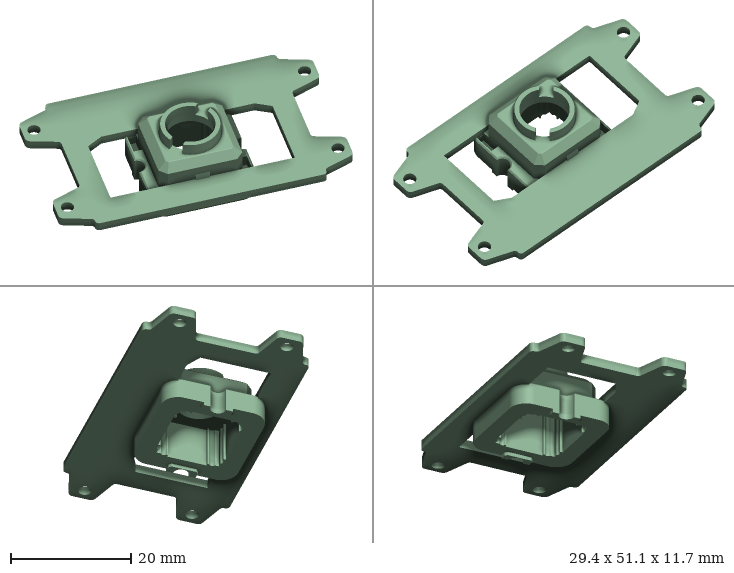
import cadquery as cq

PLATE_THICKNESS = 1.65
PLATE_WIDTH = 29.35
PLATE_LENGTH = 40.15
PLATE_CENTER_X = -2.4
OVERALL_LENGTH = 51.1

EAR_SPACING = 18.9
EAR_BASE_WIDTH = 7.95
EAR_TIP_WIDTH = 4.3
EAR_TIP_FILLET = 0.9
PLATE_FILLET = 0.65
EAR_HOLE_DIAMETER = 2.2
EAR_HOLE_INSET = 2.05

WINDOW_WIDTH = 14.1
WINDOW_LENGTH = 32.05
WINDOW_CUT_X = 1.5
WINDOW_CUT_Y = 2.7

FLANGE_WIDTH = 18.15
FLANGE_LENGTH = 18.6
FLANGE_DEPTH = 3.6
FLANGE_RISE = 0.45
FLANGE_CORNER_RADIUS = 2.95
FLANGE_EDGE_CHAMFER = 0.25

NOTCH_RADIUS = 1.4

FOOT_WIDTH = 5.15
FOOT_LENGTH = 1.55
FOOT_HEIGHT = 0.6
FOOT_CHAMFER = 0.4

POCKET_START_X = 3.25
POCKET_LIP = 0.45
POCKET_DEPTH = 2.05

HOUSING_WIDTH = 14.0
HOUSING_LENGTH = 14.6
HOUSING_CORNER = 1.3
SHOULDER_BASE_Z = 4.2
SHOULDER_TOP_Z = 5.5
SHOULDER_INSET = 1.45
SHOULDER_TOP_CORNER = 0.4
SHOULDER_FILLET = 0.2

RING_TOP_Z = 7.5
RING_BASE_RADIUS = 5.25
RING_TOP_RADIUS = 5.0
RING_SLOT_WIDTH = 2.35
RING_SLOT_ANGLE = 135.0
BORE_RADIUS = 4.2

SNAP_WIDTH = 2.45
SNAP_HEIGHT = 1.0
SNAP_REACH = 0.3

HOUSING_WALL = 1.0
ROOF_THICKNESS = 1.55
CAVITY_TOP_Z = SHOULDER_TOP_Z - ROOF_THICKNESS
PAD_LENGTH = 2.5
PAD_THICKNESS = 0.45
PAD_GROOVE_RADIUS = 0.6
PAD_GROOVE_OFFSET = 1.3


def box(x_min, x_max, y_min, y_max, z_min, z_max):
    """Box given by its limits along each axis."""
    size = (x_max - x_min, y_max - y_min, z_max - z_min)
    return cq.Workplane("XY").box(*size, centered=False).translate((x_min, y_min, z_min))


def both_ends(shape):
    """The shape together with its copy turned half a turn about Z."""
    return shape.union(shape.rotate((0, 0, 0), (0, 0, 1), 180))


def ear_centers_x():
    return [PLATE_CENTER_X + side * EAR_SPACING / 2 for side in (-1, 1)]


def make_plate():
    slab = cq.Workplane("XY").center(PLATE_CENTER_X, 0)
    slab = slab.rect(PLATE_WIDTH, PLATE_LENGTH).extrude(PLATE_THICKNESS)
    base_y = PLATE_LENGTH / 2
    tip_y = OVERALL_LENGTH / 2
    root_limit_y = (base_y + tip_y) / 2
    hole_points = []
    for x in ear_centers_x():
        for end in (-1, 1):
            ear = (
                cq.Workplane("XY")
                .polyline([
                    (x - EAR_BASE_WIDTH / 2, end * base_y),
                    (x - EAR_TIP_WIDTH / 2, end * tip_y),
                    (x + EAR_TIP_WIDTH / 2, end * tip_y),
                    (x + EAR_BASE_WIDTH / 2, end * base_y),
                ])
                .close()
                .extrude(PLATE_THICKNESS)
            )
            slab = slab.union(ear)
            hole_points.append((x, end * (tip_y - EAR_HOLE_INSET)))
    slab = slab.edges("|Z and (>Y or <Y)").fillet(EAR_TIP_FILLET)
    slab = slab.edges(cq.selectors.BoxSelector(
        (-OVERALL_LENGTH, -root_limit_y, 0), (OVERALL_LENGTH, root_limit_y, PLATE_THICKNESS)
    )).edges("|Z").fillet(PLATE_FILLET)

    holes = cq.Workplane("XY").pushPoints(hole_points).circle(EAR_HOLE_DIAMETER / 2).extrude(PLATE_THICKNESS)
    return slab.cut(holes).cut(make_window())


def make_window():
    half_x = WINDOW_WIDTH / 2
    half_y = WINDOW_LENGTH / 2
    return (
        cq.Workplane("XY")
        .polyline([
            (half_x, -half_y),
            (half_x, half_y),
            (-half_x + WINDOW_CUT_X, half_y),
            (-half_x, half_y - WINDOW_CUT_Y),
            (-half_x, -half_y + WINDOW_CUT_Y),
            (-half_x + WINDOW_CUT_X, -half_y),
        ])
        .close()
        .extrude(PLATE_THICKNESS)
    )


def make_notches():
    """Half-round vertical notches through the two Y ends of the flange."""
    bottom_z = -FLANGE_DEPTH - FOOT_HEIGHT
    end_y = FLANGE_LENGTH / 2
    return (
        cq.Workplane("XY", origin=(0, 0, bottom_z))
        .pushPoints([(0, -end_y), (0, end_y)])
        .circle(NOTCH_RADIUS)
        .extrude(FLANGE_RISE - bottom_z)
    )


def make_feet():
    end_y = FLANGE_LENGTH / 2
    foot = box(-FOOT_WIDTH / 2, FOOT_WIDTH / 2, end_y - FOOT_LENGTH, end_y,
               -FLANGE_DEPTH - FOOT_HEIGHT, -FLANGE_DEPTH)
    return both_ends(foot.edges("|Z and <Y").chamfer(FOOT_CHAMFER))


def make_flange():
    flange = (
        cq.Workplane("XY", origin=(0, 0, -FLANGE_DEPTH))
        .rect(FLANGE_WIDTH, FLANGE_LENGTH)
        .extrude(FLANGE_DEPTH + FLANGE_RISE)
        .edges("|Z")
        .fillet(FLANGE_CORNER_RADIUS)
        .cut(make_notches())
        .faces(">Z")
        .chamfer(FLANGE_EDGE_CHAMFER)
    )
    strip = box(HOUSING_WIDTH / 2, FLANGE_WIDTH, -FLANGE_LENGTH, FLANGE_LENGTH, 0, FLANGE_RISE)
    pocket = box(POCKET_START_X, HOUSING_WIDTH / 2, HOUSING_LENGTH / 2, FLANGE_LENGTH / 2 - POCKET_LIP,
                 FLANGE_RISE - POCKET_DEPTH, FLANGE_RISE)
    feet = make_feet().cut(make_notches())
    return flange.cut(both_ends(strip)).cut(both_ends(pocket)).union(feet)


def cut_corner_outline(width, length, corner):
    """Points of a centred rectangle with its four corners cut at 45 degrees."""
    half_x = width / 2
    half_y = length / 2
    return [
        (half_x, -half_y + corner),
        (half_x, half_y - corner),
        (half_x - corner, half_y),
        (-half_x + corner, half_y),
        (-half_x, half_y - corner),
        (-half_x, -half_y + corner),
        (-half_x + corner, -half_y),
        (half_x - corner, -half_y),
    ]


def make_tower():
    """Block that passes through the window, with a sloping shoulder."""
    base = cut_corner_outline(HOUSING_WIDTH, HOUSING_LENGTH, HOUSING_CORNER)
    top = cut_corner_outline(HOUSING_WIDTH - 2 * SHOULDER_INSET, HOUSING_LENGTH - 2 * SHOULDER_INSET,
                             SHOULDER_TOP_CORNER)
    block = (
        cq.Workplane("XY", origin=(0, 0, -FLANGE_DEPTH))
        .polyline(base)
        .close()
        .extrude(FLANGE_DEPTH + SHOULDER_BASE_Z)
    )
    shoulder = (
        cq.Workplane("XY", origin=(0, 0, SHOULDER_BASE_Z))
        .polyline(base)
        .close()
        .workplane(offset=SHOULDER_TOP_Z - SHOULDER_BASE_Z)
        .polyline(top)
        .close()
        .loft(ruled=True)
    )
    tower = block.union(shoulder)
    tower = tower.faces(">Z").edges().fillet(SHOULDER_FILLET)
    return tower


def make_ring():
    """Tapered collar split by two opposite slots."""
    height = RING_TOP_Z - SHOULDER_TOP_Z
    ring = (
        cq.Workplane("XY", origin=(0, 0, SHOULDER_TOP_Z))
        .circle(RING_BASE_RADIUS)
        .workplane(offset=height)
        .circle(RING_TOP_RADIUS)
        .loft(ruled=True)
    )
    slot = box(-RING_BASE_RADIUS, RING_BASE_RADIUS, -RING_SLOT_WIDTH / 2, RING_SLOT_WIDTH / 2,
               SHOULDER_TOP_Z, RING_TOP_Z)
    return ring.cut(slot.rotate((0, 0, 0), (0, 0, 1), RING_SLOT_ANGLE))


def make_snaps():
    """Wedges on the X sides that hook over the top of the plate."""
    side_x = HOUSING_WIDTH / 2
    wedge = (
        cq.Workplane("XZ", origin=(0, SNAP_WIDTH / 2, 0))
        .polyline([
            (side_x, PLATE_THICKNESS),
            (side_x + SNAP_REACH, PLATE_THICKNESS),
            (side_x, PLATE_THICKNESS + SNAP_HEIGHT),
        ])
        .close()
        .extrude(SNAP_WIDTH)
    )
    return both_ends(wedge)


def make_corner_pad(wall_x, wall_y):
    """Grooved L-shaped pad in the +X +Y corner between the cavity walls."""
    bottom_z = -FLANGE_DEPTH
    inner_x = wall_x - PAD_THICKNESS
    inner_y = wall_y - PAD_THICKNESS
    start_x = wall_x - PAD_LENGTH
    start_y = wall_y - PAD_LENGTH
    block = box(start_x, wall_x, start_y, wall_y, bottom_z, CAVITY_TOP_Z)
    inside = box(start_x, inner_x, start_y, inner_y, bottom_z, CAVITY_TOP_Z)
    axis_gap = PAD_GROOVE_RADIUS / 2
    grooves = (
        cq.Workplane("XY", origin=(0, 0, bottom_z))
        .pushPoints([
            (inner_x - PAD_GROOVE_OFFSET, inner_y - axis_gap),
            (inner_x - axis_gap, inner_y - PAD_GROOVE_OFFSET),
        ])
        .circle(PAD_GROOVE_RADIUS)
        .extrude(CAVITY_TOP_Z - bottom_z)
    )
    return block.cut(inside).cut(grooves)


def make_cavity():
    """Rectangular hollow, open at the bottom, with a pad left standing in each corner."""
    wall_x = HOUSING_WIDTH / 2 - HOUSING_WALL
    wall_y = HOUSING_LENGTH / 2 - HOUSING_WALL
    pad = make_corner_pad(wall_x, wall_y)
    pads = both_ends(pad.union(pad.mirror("YZ")))
    return box(-wall_x, wall_x, -wall_y, wall_y, -FLANGE_DEPTH, CAVITY_TOP_Z).cut(pads)


def make_bore():
    return (
        cq.Workplane("XY", origin=(0, 0, CAVITY_TOP_Z))
        .circle(BORE_RADIUS)
        .extrude(RING_TOP_Z - CAVITY_TOP_Z)
    )


def make_housing():
    outside = make_flange().union(make_tower()).union(make_ring()).union(make_snaps())
    return outside.cut(make_cavity()).cut(make_bore())


plate = make_plate()
housing = make_housing()

result = cq.Compound.makeCompound([plate.val(), housing.val()])